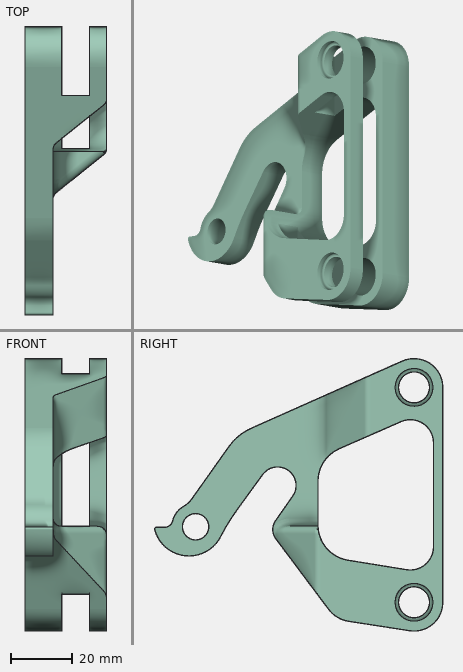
import cadquery as cq
import math


CLAMP_PLATE = 12.0
SLOT_WIDTH = 9.0
FAR_LUG = 5.6
ARM_PLATE = 9.2
TOTAL_WIDTH = CLAMP_PLATE + SLOT_WIDTH + FAR_LUG

BOLT_PITCH = 70.0
LUG_RADIUS = 9.41
CLEARANCE_DIAMETER = 12.3
BOLT_DIAMETER = 10.0
LOWER_BOLT = (0.0, 0.0)
UPPER_BOLT = (0.0, BOLT_PITCH)
FAR_RECESS_DEPTH = 2.0

HEEL_CENTRE, HEEL_RADIUS = (19.8, 3.65), 10.0
NOSE_CENTRE, NOSE_RADIUS = (41.05, 23.7), 5.0
THROAT_CENTRE, THROAT_RADIUS = (44.45, 38.05), 6.0
SHOULDER_CENTRE, SHOULDER_RADIUS = (45.65, 40.3), 18.0

HANGER_HOLE_CENTRE = (71.15, 24.6)
HANGER_HOLE_DIAMETER = 8.5
BOSS_RADIUS = 7.75
NECK_RADIUS, NECK_JOINT = 8.0, 60.3
NOOK_RADIUS, NOOK_JOINT = 2.7, 14.2
HOOK_CENTRE, HOOK_RADIUS = (73.3, 26.65), 11.6
TIP_RADIUS, TIP_JOINT = 0.75, -15.4
FLARE_RADIUS, FLARE_JOINT = 65.0, 207.0

WINDOW_REAR = -6.3
WINDOW_FRONT = 31.25
REAR_CORNER_RADIUS = 7.5
FRONT_CORNER_RADIUS = 11.5
REAR_CORNER_HEIGHTS = (18.05, 51.95)
FRONT_CORNER_HEIGHTS = (25.1, 39.45)

UPPER_SLOT_END = 13.0
LOWER_SLOT_END_BOTTOM = (31.5, 2.65)
LOWER_SLOT_END_TOP = (30.25, 20.2)

FLANK_RATE = 0.8
UPPER_FLANK_START = 15.35
LOWER_FLANK_START = 31.55
LEDGE_HEIGHT = 24.8
FLANK_FILLET = 2.5

REACH = 150.0
SMALLEST_LINE = 1e-4
SIDE_PLANE = cq.Plane(origin=(0, 0, 0), xDir=(0, -1, 0), normal=(-1, 0, 0))


def polar(centre, distance, degrees):
    """Point at a distance and direction from a centre."""
    angle = math.radians(degrees)
    return (centre[0] + distance * math.cos(angle), centre[1] + distance * math.sin(angle))


def tangent_direction(start, end):
    """Angle of the outward normal of the tangent leading from one circle to the next."""
    (start_x, start_y), start_radius = start
    (end_x, end_y), end_radius = end
    across, up = end_x - start_x, end_y - start_y
    ratio = (start_radius - end_radius) / math.hypot(across, up)
    return math.atan2(up, across) - math.acos(max(-1.0, min(1.0, ratio)))


def tangent_outline(circles):
    """Closed counterclockwise outline around circles joined by their tangents.

    Each circle is (centre, radius); a negative radius makes a hollow corner.
    """
    count = len(circles)
    normals = [tangent_direction(circles[i], circles[(i + 1) % count]) for i in range(count)]
    outline = cq.Workplane(SIDE_PLANE)
    position = None
    for i, (centre, radius) in enumerate(circles):
        entry = normals[i - 1]
        turn = math.copysign(1, radius)
        sweep = turn * ((turn * (normals[i] - entry)) % math.tau)
        first, middle, last = [
            polar(centre, radius, math.degrees(entry + sweep * part)) for part in (0, 0.5, 1)
        ]
        if position is None:
            outline = outline.moveTo(*first)
        elif math.dist(position, first) > SMALLEST_LINE:
            outline = outline.lineTo(*first)
        outline = outline.threePointArc(middle, last)
        position = last
    return outline.close()


def across_width(sketch, start, end):
    """Extrude a side sketch between two X positions."""
    return sketch.extrude(start - end).translate((start, 0, 0))


def side_hole(centre, diameter, start, end):
    """Round cutter along X between two X positions."""
    sketch = cq.Workplane(SIDE_PLANE).center(*centre).circle(diameter / 2)
    return across_width(sketch, start, end)


def make_profile():
    """Side outline of plate, arm and hanger hook at full width."""
    circles = [
        (LOWER_BOLT, LUG_RADIUS),
        (HEEL_CENTRE, HEEL_RADIUS),
        (NOSE_CENTRE, NOSE_RADIUS),
        (THROAT_CENTRE, -THROAT_RADIUS),
        (polar(HOOK_CENTRE, HOOK_RADIUS + FLARE_RADIUS, FLARE_JOINT), -FLARE_RADIUS),
        (HOOK_CENTRE, HOOK_RADIUS),
        (polar(HOOK_CENTRE, HOOK_RADIUS - TIP_RADIUS, TIP_JOINT), TIP_RADIUS),
        (polar(HANGER_HOLE_CENTRE, BOSS_RADIUS + NOOK_RADIUS, NOOK_JOINT), -NOOK_RADIUS),
        (HANGER_HOLE_CENTRE, BOSS_RADIUS),
        (polar(HANGER_HOLE_CENTRE, BOSS_RADIUS + NECK_RADIUS, NECK_JOINT), -NECK_RADIUS),
        (SHOULDER_CENTRE, SHOULDER_RADIUS),
        (UPPER_BOLT, LUG_RADIUS),
    ]
    return across_width(tangent_outline(circles), 0, TOTAL_WIDTH)


def make_window():
    rear = WINDOW_REAR + REAR_CORNER_RADIUS
    front = WINDOW_FRONT - FRONT_CORNER_RADIUS
    circles = [
        ((rear, REAR_CORNER_HEIGHTS[0]), REAR_CORNER_RADIUS),
        ((front, FRONT_CORNER_HEIGHTS[0]), FRONT_CORNER_RADIUS),
        ((front, FRONT_CORNER_HEIGHTS[1]), FRONT_CORNER_RADIUS),
        ((rear, REAR_CORNER_HEIGHTS[1]), REAR_CORNER_RADIUS),
    ]
    return across_width(tangent_outline(circles), 0, TOTAL_WIDTH)


def make_slot():
    """Slot between clamp plate and far lug, open to the rear, the top and the bottom."""
    (low_forward, low_height), (high_forward, high_height) = LOWER_SLOT_END_BOTTOM, LOWER_SLOT_END_TOP
    lean = (high_forward - low_forward) / (high_height - low_height)
    rear = -2 * LUG_RADIUS
    floor = -2 * LUG_RADIUS
    top = BOLT_PITCH + 2 * LUG_RADIUS
    outline = [
        (rear, floor),
        (low_forward + lean * (floor - low_height), floor),
        (low_forward + lean * (LEDGE_HEIGHT - low_height), LEDGE_HEIGHT),
        (UPPER_SLOT_END, LEDGE_HEIGHT),
        (UPPER_SLOT_END, top),
        (rear, top),
    ]
    sketch = cq.Workplane(SIDE_PLANE).polyline(outline).close()
    return across_width(sketch, CLAMP_PLATE, CLAMP_PLATE + SLOT_WIDTH)


def flank_root(start):
    """Forward position where a slanted flank meets the arm plate."""
    return start + FLANK_RATE * (TOTAL_WIDTH - ARM_PLATE)


def flank_block(start, top):
    """Arm plate with a slant-fronted block on its inner side, up to a given height."""
    root = flank_root(start)
    plate = cq.Workplane("XY").box(ARM_PLATE, 2 * REACH, 2 * REACH, centered=(False, True, True))
    outline = [
        (0, REACH),
        (TOTAL_WIDTH, REACH),
        (TOTAL_WIDTH, -start),
        (ARM_PLATE, -root),
        (0, -root),
    ]
    block = cq.Workplane("XY").workplane(offset=-REACH).polyline(outline).close().extrude(REACH + top)
    return plate.union(block).clean()


def fillet_nearest(solid, points):
    """Round the edges nearest to the given points."""
    edges = [solid.edges(cq.selectors.NearestToPointSelector(point)).val() for point in points]
    return solid.newObject(edges).fillet(FLANK_FILLET)


def outer_and_root_edges(start):
    """Points on the two upright edges that bound a slanted flank."""
    height = LEDGE_HEIGHT - REACH / 2
    return (TOTAL_WIDTH, -start, height), (ARM_PLATE, -flank_root(start), height)


def make_upper_envelope():
    block = flank_block(UPPER_FLANK_START, REACH)
    return fillet_nearest(block, outer_and_root_edges(UPPER_FLANK_START))


def make_lower_envelope():
    """Lower flank topped by a flat ledge; hollow edges are rounded after the outer ones."""
    outer_edge, root_edge = outer_and_root_edges(LOWER_FLANK_START)
    flank_middle = (outer_edge[1] + root_edge[1]) / 2
    ledge_front = ((TOTAL_WIDTH + ARM_PLATE) / 2, flank_middle, LEDGE_HEIGHT)
    ledge_side = (ARM_PLATE, 0, LEDGE_HEIGHT)
    block = flank_block(LOWER_FLANK_START, LEDGE_HEIGHT)
    block = fillet_nearest(block, [outer_edge, ledge_front])
    return fillet_nearest(block, [root_edge, ledge_side])


def cut_bolt_hole(part, bolt):
    """Clearance hole in the clamp plate, bolt hole in the far lug with a recess on its outer face."""
    recess_start = TOTAL_WIDTH - FAR_RECESS_DEPTH
    part = part.cut(side_hole(bolt, CLEARANCE_DIAMETER, 0, CLAMP_PLATE))
    part = part.cut(side_hole(bolt, BOLT_DIAMETER, CLAMP_PLATE, TOTAL_WIDTH))
    return part.cut(side_hole(bolt, CLEARANCE_DIAMETER, recess_start, TOTAL_WIDTH))


envelope = make_upper_envelope().union(make_lower_envelope())
result = make_profile().cut(make_window()).intersect(envelope).cut(make_slot())
for bolt_centre in (LOWER_BOLT, UPPER_BOLT):
    result = cut_bolt_hole(result, bolt_centre)
result = result.cut(side_hole(HANGER_HOLE_CENTRE, HANGER_HOLE_DIAMETER, 0, ARM_PLATE))